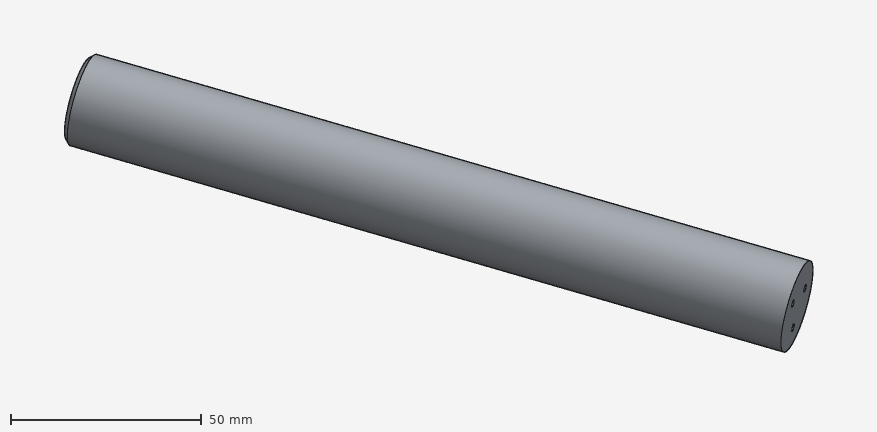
import cadquery as cq
import math

bar_length = 200.0
bar_diameter = 25.0
chamfer = bar_diameter / 20

channel_count = 3
channel_circle_radius = bar_diameter / 4
channel_first_angle = 71.0
channel_diameter = 2.0
helix_angle = 30.0
helix_lead = math.pi * bar_diameter / math.tan(math.radians(helix_angle))
channel_twist = 360 * bar_length / helix_lead


def make_bar():
    bar = cq.Workplane("YZ").circle(bar_diameter / 2).extrude(bar_length)
    return bar.faces("<X").chamfer(chamfer)


def make_channel(index):
    angle = math.radians(channel_first_angle + index * 360 / channel_count)
    y = channel_circle_radius * math.cos(angle)
    z = channel_circle_radius * math.sin(angle)
    section = cq.Workplane("YZ").pushPoints([(y, z)]).circle(channel_diameter / 2)
    return section.twistExtrude(bar_length, channel_twist)


result = make_bar()
for channel_index in range(channel_count):
    result = result.cut(make_channel(channel_index))